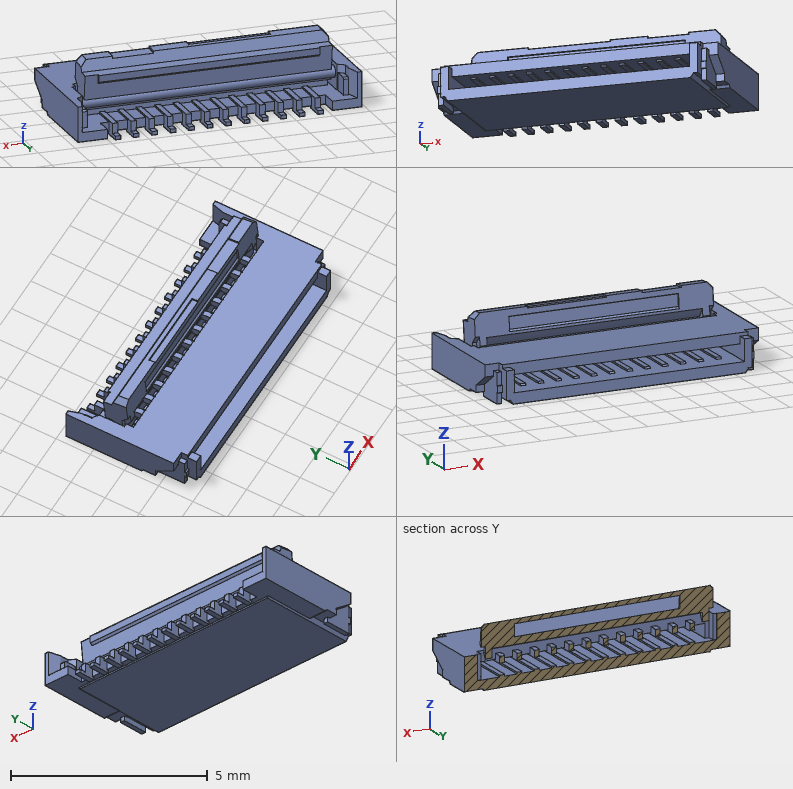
import cadquery as cq


WIDTH = 7.7
DEPTH = 3.6
HALF_WIDTH = WIDTH / 2
TOP_Z = 1.025
BODY_HALF = 3.455
BODY_BOTTOM_Z = 0.023
BODY_BACK_Y = 2.93
LOWER_EDGE_INSET = 0.1
CHAMFER_X = 0.085
CHAMFER_Z = 0.12
BOTTOM_HALF = BODY_HALF - LOWER_EDGE_INSET - CHAMFER_X
COVER_FRONT_Y = 0.26
SIDE_WALL_TOP_Z = 0.93

FLANGE_FRONT_Y = 0.445
FLANGE_BOTTOM_Z = 0.073
FLANGE_STEP_Z = 0.143
FLANGE_STEP_Y = 1.39
FLANGE_STEP_RUN = 0.06
FLANGE_TOE_Y = 0.98
FLANGE_TOE_Z = 0.34
FLANGE_NOSE_Z = 0.70

SLOT_HALF = 3.24
FLOOR_Z = 0.325
SLOT_TOP_Z = 0.726
OPENING_HALF = 3.36
OPENING_FRONT_Y = 1.905
CONTACT_WALL_FRONT_Y = 2.2
CONTACT_WALL_BACK_Y = 2.4
SHAFT_SLOT_FRONT_Y = 2.115
BACK_NOTCH_HALF = 3.05
BACK_NOTCH_Y = 3.09
WALL_TIP_X = 3.73
WALL_INNER_X = 3.635
WALL_TAPER_Y = 3.25
WALL_BEND_Y = 2.976
WALL_ROOT_Y = 2.85

CONTACT_COUNT = 12
PITCH = 0.5
CONTACT_WIDTH = 0.15
FOOT_BACK_Y = 3.56
FOOT_BEND_Y = 3.345
FOOT_TOP_Z = 0.1
FOOT_FRONT_Y = 3.03
ARM_TIP_Y = 0.485
ARM_TIP_RUN = 0.035
LOWER_ARM_TOP_Z = 0.37
UPPER_ARM_BOTTOM_Z = 0.68
UPPER_ARM_TOP_Z = 0.89
UPPER_ARM_BEND_Y = 2.07
UPPER_ARM_BACK_Z = 0.82

TAB_INNER_X = 3.475
TAB_OUTER_X = 3.61
TAB_BACK_Y = 1.05
TAB_TOP_Z = 0.84
TAB_LUG_Y = 0.21
TAB_LUG_BOTTOM_Z = 0.302
TAB_LUG_TOP_Z = 0.492
TAIL_BACK_Y = 3.28
TAIL_TOP_Z = 0.8
TAIL_BEVEL = 0.045

SHAFT_Y = 2.59
SHAFT_Z = 0.75
SHAFT_RADIUS = 0.163
TILT_DEGREES = 6
LATCH_HALF = 3.356
FRONT_U = -0.574
BACK_U = 0.113
TOP_W = 1.067
TOP_BACK_U = -0.275
SHOULDER_U = -0.126
SHOULDER_W = 0.79
CORNER_CHAMFER = 0.157
RIB_HALF = 3.0
RIB_BACK_U = 0.172
RIB_BOTTOM_W = 0.6
LEG_INNER_X = 3.037
LEG_OUTER_X = 3.236
LEG_FRONT_W = 0.2
LEG_INNER_W = -0.1
MIDDLE_EDGE_W = 0.402
MIDDLE_BEND_U = -0.46
MIDDLE_BEND_W = 0.26
WEB_FRONT_U = -0.365
MIDDLE_INNER_W = 0.16
CORNER_EDGE_W = 0.447
CORNER_INNER_U = -0.38
CORNER_INNER_W = 0.275
WINDOW_HALF = 2.387
WINDOW_BOTTOM_W = 0.475
WINDOW_TOP_W = 0.865
WINDOW_DEPTH = 0.05
LONG_NOTCH_X = (-1.85, 0.366)
LONG_NOTCH_BACK_U = -0.4
LONG_NOTCH_DEPTH = 0.042
SHORT_NOTCH_X = (1.375, 2.48)
SHORT_NOTCH_DEPTH = 0.05


def box(x0, x1, y0, y1, z0, z1):
    """Box between two opposite corners."""
    return cq.Workplane("XY").box(x1 - x0, y1 - y0, z1 - z0, centered=False).translate((x0, y0, z0))


def centred_box(half_x, y0, y1, z0, z1):
    """Box that is symmetric about the YZ plane."""
    return box(-half_x, half_x, y0, y1, z0, z1)


def prism_along_x(outline, x0, x1):
    """Sweep a (Y, Z) outline from x0 to x1."""
    return cq.Workplane("YZ").polyline(outline).close().extrude(x1 - x0).translate((x0, 0, 0))


def both_ends(solid):
    """Add the mirror image on the other end of the connector."""
    return solid.union(solid.mirror("YZ"))


def make_body():
    lower_edge_z = BODY_BOTTOM_Z + CHAMFER_Z
    edge_half = BODY_HALF - LOWER_EDGE_INSET
    section = [
        (-BOTTOM_HALF, BODY_BOTTOM_Z),
        (BOTTOM_HALF, BODY_BOTTOM_Z),
        (edge_half, lower_edge_z),
        (BODY_HALF, lower_edge_z),
        (BODY_HALF, TOP_Z),
        (-BODY_HALF, TOP_Z),
        (-BODY_HALF, lower_edge_z),
        (-edge_half, lower_edge_z),
    ]
    body = cq.Workplane("XZ").polyline(section).close().extrude(-DEPTH)
    body = body.cut(centred_box(BODY_HALF, BODY_BACK_Y, DEPTH, 0, FLANGE_BOTTOM_Z))
    body = body.cut(centred_box(BODY_HALF, 0, COVER_FRONT_Y, SIDE_WALL_TOP_Z, TOP_Z))
    return body.cut(centred_box(SLOT_HALF, 0, COVER_FRONT_Y, SLOT_TOP_Z, TOP_Z))


def make_flanges():
    outline = [
        (DEPTH, TOP_Z),
        (DEPTH, FLANGE_BOTTOM_Z),
        (FLANGE_STEP_Y, FLANGE_BOTTOM_Z),
        (FLANGE_STEP_Y - FLANGE_STEP_RUN, FLANGE_STEP_Z),
        (FLANGE_TOE_Y, FLANGE_STEP_Z),
        (FLANGE_TOE_Y, FLANGE_TOE_Z),
        (FLANGE_FRONT_Y, FLANGE_NOSE_Z),
        (FLANGE_FRONT_Y, TOP_Z),
    ]
    return both_ends(prism_along_x(outline, BOTTOM_HALF, HALF_WIDTH))


def make_openings():
    """Cable slot, latch opening and the stepped-down floor between the tapered end walls."""
    slot = centred_box(SLOT_HALF, 0, OPENING_FRONT_Y, FLOOR_Z, SLOT_TOP_Z)
    opening = centred_box(OPENING_HALF, OPENING_FRONT_Y, DEPTH, FLOOR_Z, TOP_Z)
    back_notch = centred_box(BACK_NOTCH_HALF, BACK_NOTCH_Y, DEPTH, 0, TOP_Z)
    end_pocket = (
        cq.Workplane("XY")
        .workplane(offset=FLOOR_Z)
        .moveTo(0, SHAFT_SLOT_FRONT_Y)
        .lineTo(BODY_HALF, SHAFT_SLOT_FRONT_Y)
        .lineTo(BODY_HALF, WALL_ROOT_Y)
        .lineTo(WALL_INNER_X, WALL_BEND_Y)
        .lineTo(WALL_INNER_X, WALL_TAPER_Y)
        .lineTo(WALL_TIP_X, DEPTH)
        .lineTo(0, DEPTH)
        .close()
        .extrude(TOP_Z - FLOOR_Z)
    )
    return slot.union(opening).union(back_notch).union(both_ends(end_pocket))


def make_contact_wall():
    """Wall across the opening that closes the cable slot and carries the upper contact arms."""
    return centred_box(
        OPENING_HALF, CONTACT_WALL_FRONT_Y, CONTACT_WALL_BACK_Y, FLOOR_Z, SLOT_TOP_Z
    )


def make_contact(x):
    """Soldering foot, lower arm along the slot floor and upper arm under the cover."""
    x0 = x - CONTACT_WIDTH / 2
    x1 = x + CONTACT_WIDTH / 2
    lower_outline = [
        (FOOT_BACK_Y, 0),
        (FOOT_BACK_Y, FOOT_TOP_Z),
        (FOOT_BEND_Y, FOOT_TOP_Z),
        (FOOT_BEND_Y, LOWER_ARM_TOP_Z),
        (ARM_TIP_Y + ARM_TIP_RUN, LOWER_ARM_TOP_Z),
        (ARM_TIP_Y, FLOOR_Z),
        (ARM_TIP_Y, FLANGE_BOTTOM_Z),
        (FOOT_FRONT_Y, FLANGE_BOTTOM_Z),
        (FOOT_FRONT_Y, 0),
    ]
    upper_outline = [
        (ARM_TIP_Y, SLOT_TOP_Z),
        (ARM_TIP_Y + ARM_TIP_RUN, UPPER_ARM_BOTTOM_Z),
        (CONTACT_WALL_BACK_Y, UPPER_ARM_BOTTOM_Z),
        (CONTACT_WALL_BACK_Y, UPPER_ARM_BACK_Z),
        (UPPER_ARM_BEND_Y, UPPER_ARM_TOP_Z),
        (ARM_TIP_Y, UPPER_ARM_TOP_Z),
    ]
    return prism_along_x(lower_outline, x0, x1).union(prism_along_x(upper_outline, x0, x1))


def make_tabs():
    plate_outline = [
        (TAB_BACK_Y, 0),
        (TAB_BACK_Y, TAB_TOP_Z),
        (COVER_FRONT_Y, TAB_TOP_Z),
        (COVER_FRONT_Y, TAB_LUG_TOP_Z),
        (TAB_LUG_Y, TAB_LUG_TOP_Z),
        (TAB_LUG_Y, TAB_LUG_BOTTOM_Z),
        (COVER_FRONT_Y, TAB_LUG_BOTTOM_Z),
        (COVER_FRONT_Y, 0),
    ]
    tail_outline = [
        (WALL_ROOT_Y, FLOOR_Z),
        (TAIL_BACK_Y, FLOOR_Z),
        (TAIL_BACK_Y, TAIL_TOP_Z - TAIL_BEVEL),
        (TAIL_BACK_Y - TAIL_BEVEL, TAIL_TOP_Z),
        (WALL_ROOT_Y, TAIL_TOP_Z),
    ]
    plate = prism_along_x(plate_outline, TAB_INNER_X, TAB_OUTER_X)
    tail = prism_along_x(tail_outline, TAB_INNER_X, TAB_OUTER_X)
    return both_ends(plate.union(tail))


def make_latch():
    bottom_w = -SHAFT_RADIUS
    profile = [
        (FRONT_U, bottom_w),
        (FRONT_U, TOP_W),
        (TOP_BACK_U, TOP_W),
        (SHOULDER_U, SHOULDER_W),
        (BACK_U, SHOULDER_W),
        (BACK_U, bottom_w),
    ]
    latch = prism_along_x(profile, -LATCH_HALF, LATCH_HALF)

    rib_profile = [
        (BACK_U, SHOULDER_W),
        (RIB_BACK_U, SHOULDER_W),
        (RIB_BACK_U, RIB_BOTTOM_W),
        (BACK_U, RIB_BOTTOM_W - (RIB_BACK_U - BACK_U)),
    ]
    latch = latch.union(prism_along_x(rib_profile, -RIB_HALF, RIB_HALF))

    corner = (
        cq.Workplane("XZ")
        .moveTo(LATCH_HALF, TOP_W)
        .lineTo(LATCH_HALF - CORNER_CHAMFER, TOP_W)
        .lineTo(LATCH_HALF, TOP_W - CORNER_CHAMFER)
        .close()
        .extrude(TOP_W, both=True)
    )
    latch = latch.cut(both_ends(corner))

    middle_undercut = [
        (FRONT_U, bottom_w),
        (FRONT_U, MIDDLE_EDGE_W),
        (MIDDLE_BEND_U, MIDDLE_BEND_W),
        (WEB_FRONT_U, MIDDLE_INNER_W),
        (WEB_FRONT_U, bottom_w),
    ]
    corner_undercut = [
        (FRONT_U, bottom_w),
        (FRONT_U, CORNER_EDGE_W),
        (CORNER_INNER_U, CORNER_INNER_W),
        (CORNER_INNER_U, bottom_w),
    ]
    leg_undercut = [
        (FRONT_U, bottom_w),
        (FRONT_U, LEG_FRONT_W),
        (WEB_FRONT_U, LEG_INNER_W),
        (WEB_FRONT_U, bottom_w),
    ]
    latch = latch.cut(prism_along_x(middle_undercut, -LEG_INNER_X, LEG_INNER_X))
    latch = latch.cut(both_ends(prism_along_x(corner_undercut, LEG_OUTER_X, LATCH_HALF)))
    latch = latch.cut(prism_along_x(leg_undercut, -LATCH_HALF, LATCH_HALF))

    window_outline = [
        (FRONT_U, WINDOW_BOTTOM_W),
        (FRONT_U, WINDOW_TOP_W),
        (FRONT_U + WINDOW_DEPTH, WINDOW_TOP_W),
        (FRONT_U + WINDOW_DEPTH, WINDOW_BOTTOM_W + WINDOW_DEPTH),
    ]
    latch = latch.cut(prism_along_x(window_outline, -WINDOW_HALF, WINDOW_HALF))
    latch = latch.cut(box(*LONG_NOTCH_X, FRONT_U, LONG_NOTCH_BACK_U, TOP_W - LONG_NOTCH_DEPTH, TOP_W))
    latch = latch.cut(box(*SHORT_NOTCH_X, FRONT_U, SHOULDER_U, TOP_W - SHORT_NOTCH_DEPTH, TOP_W))

    shaft = cq.Workplane("YZ").circle(SHAFT_RADIUS).extrude(BODY_HALF, both=True)
    latch = latch.union(shaft)
    return latch.rotate((0, 0, 0), (1, 0, 0), -TILT_DEGREES).translate((0, SHAFT_Y, SHAFT_Z))


result = make_body().union(make_flanges()).cut(make_openings())
result = result.union(make_contact_wall()).union(make_tabs())
for index in range(CONTACT_COUNT):
    result = result.union(make_contact((index - (CONTACT_COUNT - 1) / 2) * PITCH))
result = result.union(make_latch())